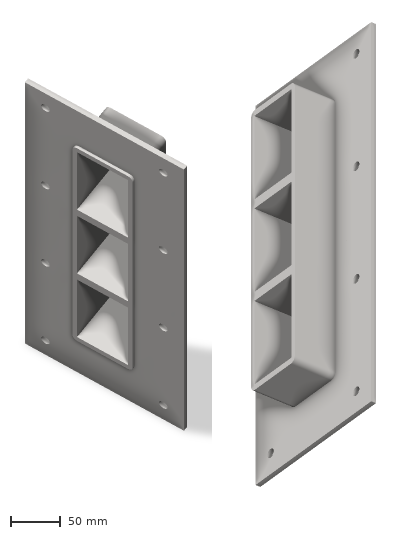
import cadquery as cq

plate_width = 192.5
plate_height = 455.0
plate_thickness = 6.0

frame_width = 73.0
frame_height = 336.0
frame_depth = 60.0
frame_front_lip = 3.0
frame_corner_radius = 6.5

opening_count = 3
opening_width = 62.0
opening_height = 100.0
divider_thickness = 11.0
opening_pitch = opening_height + divider_thickness

hole_diameter = 10.5
hole_edge_distance = 25.0
hole_columns = 2
hole_rows = 4
hole_column_spacing = plate_width - 2 * hole_edge_distance
hole_row_spacing = (plate_height - 2 * hole_edge_distance) / (hole_rows - 1)


def front_plane(y):
    """XZ sketch plane at the given Y; its normal points toward -Y."""
    return cq.Workplane("XZ", origin=(0, y, 0))


def make_plate():
    """Flat plate with its front face at Y = 0 and a grid of bolt holes."""
    return (
        front_plane(0)
        .rect(plate_width, plate_height)
        .extrude(-plate_thickness)
        .faces("<Y")
        .workplane(origin=(0, 0, 0))
        .rarray(hole_column_spacing, hole_row_spacing, hole_columns, hole_rows)
        .hole(hole_diameter)
    )


def make_frame():
    """Solid block with rounded corners, standing proud of the plate on both sides."""
    return (
        front_plane(-frame_front_lip)
        .rect(frame_width, frame_height)
        .extrude(-frame_depth)
        .edges("|Y")
        .fillet(frame_corner_radius)
    )


def make_openings():
    """Rectangular passages through the full depth of the frame."""
    return (
        front_plane(-frame_front_lip)
        .rarray(4.5, opening_pitch, 1, opening_count)
        .rect(opening_width, opening_height)
        .extrude(-frame_depth)
    )


result = make_plate().union(make_frame()).cut(make_openings())